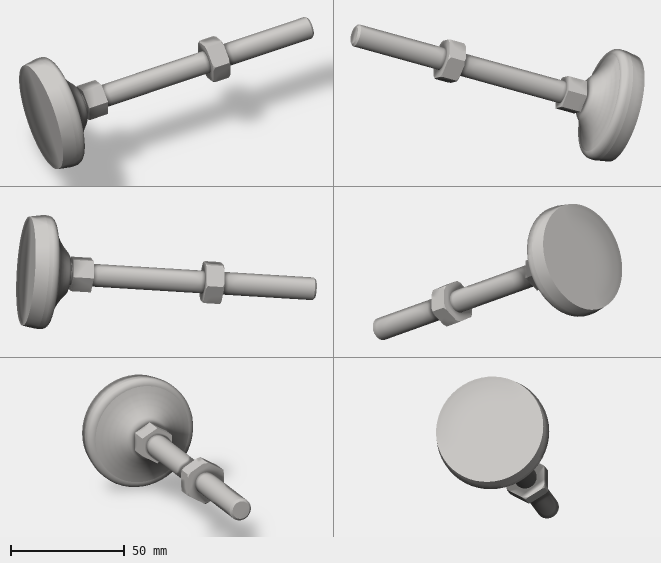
import cadquery as cq
import math


total_length = 129.0
spindle_radius = 5.0
spindle_end_chamfer = 1.0

pad_radius = 25.0
sole_radius = 24.0
taper_height = 6.0
rim_top = 8.0
shoulder_fillet = 3.0
shoulder_top = rim_top + shoulder_fillet
flare_end_radius = pad_radius - shoulder_fillet
pad_height = 19.0
collar_flat_radius = 6.4
collar_rounding = 5.0
collar_arc_angle = math.pi / 4
flare_start_radius = collar_flat_radius + collar_rounding * math.sin(collar_arc_angle)
flare_start_height = pad_height - collar_rounding * (1 - math.cos(collar_arc_angle))
flare_sag = 1.0

drive_hex_flats = 14.0
drive_hex_start = 20.0
drive_hex_length = 9.0

nut_flats = 17.0
nut_start = 79.0
nut_length = 8.0
nut_corner_chamfer = 0.7


def corner_diameter(across_flats):
    """Distance across the corners of a regular hexagon."""
    return across_flats / math.cos(math.pi / 6)


def plane_at(y):
    """Plane normal to the spindle at height y, sketch X along +Z and normal along +Y."""
    return cq.Workplane(cq.Plane(origin=(0, y, 0), xDir=(0, 0, 1), normal=(0, 1, 0)))


def hex_prism(across_flats, start, length):
    """Hexagonal prism with two flats facing +X and -X."""
    return plane_at(start).polygon(6, corner_diameter(across_flats)).extrude(length)


def make_pad():
    """Revolved pad: tapered sole, short rim, rounded shoulder, concave flare and rounded collar."""
    chord_run = flare_end_radius - flare_start_radius
    chord_drop = flare_start_height - shoulder_top
    chord = math.hypot(chord_run, chord_drop)
    flare_middle = (
        (flare_start_radius + flare_end_radius) / 2 - flare_sag * chord_drop / chord,
        (flare_start_height + shoulder_top) / 2 - flare_sag * chord_run / chord,
    )
    shoulder_reach = shoulder_fillet * math.sin(math.pi / 4)
    shoulder_middle = (flare_end_radius + shoulder_reach, rim_top + shoulder_reach)
    collar_middle = (
        collar_flat_radius + collar_rounding * math.sin(collar_arc_angle / 2),
        pad_height - collar_rounding * (1 - math.cos(collar_arc_angle / 2)),
    )
    return (
        cq.Workplane("XY")
        .lineTo(sole_radius, 0)
        .lineTo(pad_radius, taper_height)
        .lineTo(pad_radius, rim_top)
        .threePointArc(shoulder_middle, (flare_end_radius, shoulder_top))
        .threePointArc(flare_middle, (flare_start_radius, flare_start_height))
        .threePointArc(collar_middle, (collar_flat_radius, pad_height))
        .lineTo(0, pad_height)
        .close()
        .revolve(360, (0, 0, 0), (0, 1, 0))
    )


def make_spindle():
    """Plain round spindle rising from the pad, chamfered at its free end."""
    spindle = plane_at(pad_height).circle(spindle_radius).extrude(total_length - pad_height)
    return spindle.faces(">Y").chamfer(spindle_end_chamfer)


def make_lock_nut():
    """Hexagon nut whose corners are turned to a cone at both ends."""
    blank_radius = corner_diameter(nut_flats) / 2
    turned_blank = (
        plane_at(nut_start)
        .circle(blank_radius)
        .extrude(nut_length)
        .faces("<Y or >Y")
        .chamfer(nut_corner_chamfer)
    )
    return hex_prism(nut_flats, nut_start, nut_length).intersect(turned_blank)


drive_hex = hex_prism(drive_hex_flats, drive_hex_start, drive_hex_length)
result = make_pad().union(make_spindle()).union(drive_hex).union(make_lock_nut())